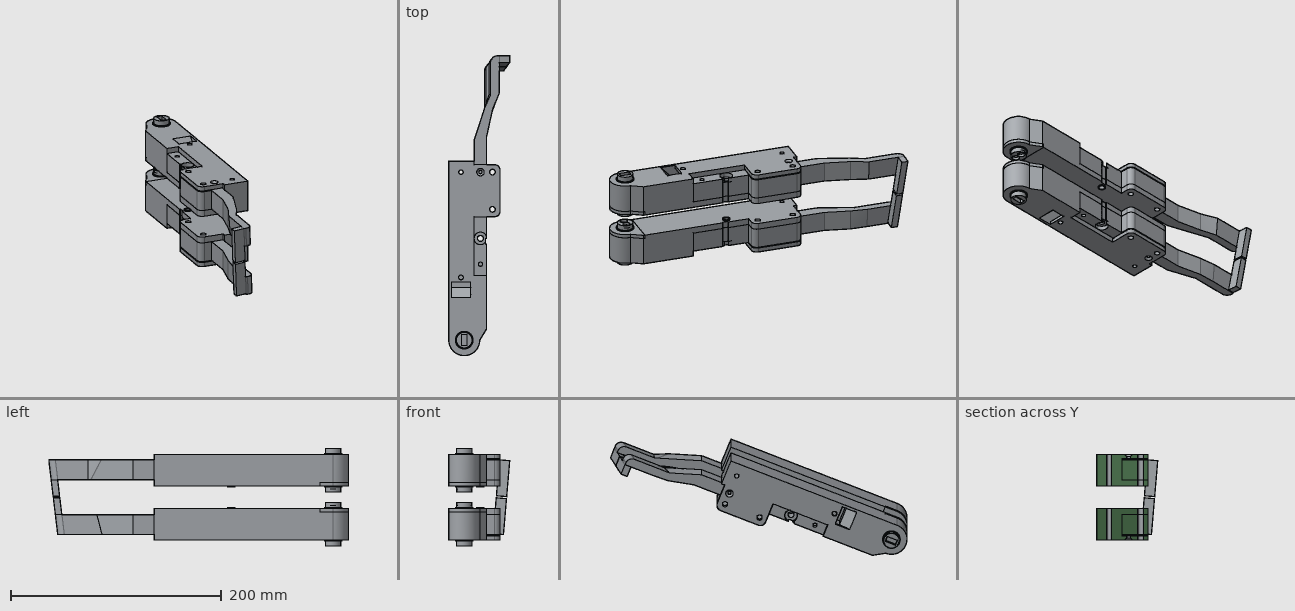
import cadquery as cq
import math


housing_top = 40.8
housing_bottom = 10.5
lever_top = 35.5
lever_bottom = 16.5
cover_bottom = 36.5

nose_radius = 14.8
body_right = 21.5
body_end = 170.1
nose_chamfer_start = 10.8
flange_right = 34.2
flange_start = 117.0
flange_end = 166.7
flange_corner_radius = 5.5

channel_left = 9.5
channel_start = 61.3
channel_center = (channel_left + body_right) / 2

corner_hole_diameter = 4.0
corner_hole = (-3.0, 159.5)
flange_hole_diameter = 5.0
flange_hole_inset = 7.0
flange_hole_edge_distance = 7.5
flange_hole_x = flange_right - flange_hole_edge_distance
flange_hole_points = [
    (flange_hole_x, flange_start + flange_hole_inset),
    (flange_hole_x, flange_end - flange_hole_inset),
]
countersink_diameter = 7.0
countersink_hole_diameter = 3.0
countersink_point = (channel_center, flange_end - flange_hole_inset)
window_hole_diameter = 4.5
window_hole = (corner_hole[0], 59.5)

pivot_point = (channel_center, 96.5)
pivot_hole_diameter = 5.5
pivot_counterbore_diameter = 12.0
pivot_counterbore_depth = 4.3
pivot_boss_diameter = 7.0
pivot_boss_height = 0.9
notch_depth = 1.0
notch_width = 5.5
lever_pin_hole_diameter = 4.0
lever_pin_hole_depth = 5.7
lever_pin_hole = (channel_center, 72.0)

window_left = -12.3
window_right = 6.0
window_start = 40.5
window_end = 55.0
window_wall = 3.0
cavity_right = 7.5
cavity_end = 79.8
cavity_floor = 16.5
ramp_run = 9.7
ramp_drop = 10.3

cap_end = 12.3
cap_thickness = 3.5

spindle_diameter = 14.8
collar_diameter = 16.8
collar_height = 0.9
spindle_projection = 5.7
drive_slot_width = 5.0
drive_slot_length = 10.3
drive_slot_depth = 4.3
spanner_hole_diameter = 6.8
spanner_hole_spacing = 7.0
spanner_hole_depth = 2.8

arm_left_bend_y = 190.5
arm_right_bend_y = 193.5
arm_left_slope = 0.33
left_elbow_top_y = 220.3
left_elbow_bottom_y = 230.3
right_elbow = (26.8, 218.0)
grip_left = 25.0
grip_right = 33.3
grip_left_start = 233.0
grip_right_start = 234.5
grip_tip = 270.2
tip_radius = 6.3
lean_x = 0.085
lean_y = 0.12

hook_reach = 10.0
hook_thickness = 6.3
hook_gap = 1.7
hook_tilt_rise = lean_x * hook_reach


def plate(outline, bottom, top):
    """Extrude a closed XY outline between two heights."""
    return outline.extrude(top - bottom).translate((0, 0, bottom))


def box(x_range, y_range, z_range):
    lengths = [high - low for low, high in (x_range, y_range, z_range)]
    corner = (x_range[0], y_range[0], z_range[0])
    return cq.Workplane("XY").box(*lengths, centered=False).translate(corner)


def cylinder(points, diameter, bottom, top):
    return plate(cq.Workplane("XY").pushPoints(points).circle(diameter / 2), bottom, top)


def flange(bottom, top):
    block = box((channel_left, flange_right), (flange_start, flange_end), (bottom, top))
    return block.edges("|Z and >X").fillet(flange_corner_radius)


def make_nose_and_body():
    """Long body with a round nose, without the side flange."""
    outline = (
        cq.Workplane("XY")
        .moveTo(-nose_radius, 0)
        .threePointArc((0, -nose_radius), (nose_radius, 0))
        .lineTo(body_right, nose_chamfer_start)
        .lineTo(body_right, flange_end)
        .lineTo(channel_left, flange_end)
        .lineTo(channel_left, body_end)
        .lineTo(-nose_radius, body_end)
        .close()
    )
    return plate(outline, housing_bottom, housing_top)


def make_window():
    """Rectangular opening in the top wall, with a cavity and a steep ramp that ends in a drop below."""
    ceiling = housing_top - window_wall
    opening = box(
        (window_left, window_right), (window_start, window_end), (cavity_floor, housing_top)
    )
    cavity = box((window_left, cavity_right), (window_start, cavity_end), (cavity_floor, ceiling))
    ramp_width = cavity_right - window_left
    ramp = (
        cq.Workplane("YZ")
        .moveTo(window_start, cavity_floor)
        .lineTo(window_start + ramp_run, cavity_floor)
        .lineTo(window_start + ramp_run, housing_top - ramp_drop)
        .lineTo(window_start, housing_top)
        .close()
        .extrude(ramp_width)
        .translate((window_left, 0, 0))
    )
    return opening.union(cavity).cut(ramp)


def make_edge_notch():
    """Notch beside the pivot, in the right edge of both the lever and the housing floor."""
    return box(
        (body_right - notch_depth, body_right),
        (pivot_point[1] - notch_width, pivot_point[1]),
        (housing_bottom, lever_top),
    )


def make_countersink():
    """Countersunk hole through the wall above the lever."""
    hole = cylinder([countersink_point], countersink_hole_diameter, cover_bottom, housing_top)
    cone_depth = (countersink_diameter - countersink_hole_diameter) / 2
    cone = cq.Solid.makeCone(
        countersink_hole_diameter / 2, countersink_diameter / 2, cone_depth
    ).translate(cq.Vector(*countersink_point, housing_top - cone_depth))
    return hole.union(cq.Workplane(cone))


def cap_zone():
    """Region at the nose that belongs to the cap and not to the housing."""
    return box(
        (-nose_radius, body_right),
        (-nose_radius, cap_end),
        (housing_bottom, housing_bottom + cap_thickness),
    )


def spindle_bore():
    return cylinder([(0, 0)], spindle_diameter, housing_bottom, housing_top)


def make_housing():
    body = make_nose_and_body().union(flange(housing_bottom, housing_top))
    channel = box((channel_left, flange_right), (channel_start, body_end), (lever_bottom, cover_bottom))
    channel_mouth = box(
        (channel_left, body_right), (channel_start, flange_start), (cover_bottom, housing_top)
    )
    body = body.cut(channel).cut(channel_mouth)
    boss_bottom = housing_bottom - pivot_boss_height
    body = body.union(cylinder([pivot_point], pivot_boss_diameter, boss_bottom, housing_bottom))
    body = body.cut(cylinder([pivot_point], pivot_hole_diameter, boss_bottom, housing_top))
    body = body.cut(cylinder(flange_hole_points, flange_hole_diameter, housing_bottom, housing_top))
    body = body.cut(cylinder([corner_hole], corner_hole_diameter, housing_bottom, housing_top))
    body = body.cut(
        cylinder([window_hole], window_hole_diameter, housing_top - window_wall, housing_top)
    )
    body = body.cut(make_countersink()).cut(make_window()).cut(make_edge_notch())
    return body.cut(cap_zone()).cut(spindle_bore())


def make_cap():
    return make_nose_and_body().intersect(cap_zone()).cut(spindle_bore())


def make_spindle():
    bottom = housing_bottom - spindle_projection
    top = housing_top + spindle_projection
    spindle = cylinder([(0, 0)], spindle_diameter, bottom, top)
    for collar_bottom in (housing_bottom - collar_height, housing_top):
        spindle = spindle.union(
            cylinder([(0, 0)], collar_diameter, collar_bottom, collar_bottom + collar_height)
        )
    drive_slot = plate(
        cq.Workplane("XY").rect(drive_slot_width, drive_slot_length), top - drive_slot_depth, top
    )
    spanner_points = [(side * spanner_hole_spacing / 2, 0) for side in (-1, 1)]
    spanner_holes = cylinder(
        spanner_points, spanner_hole_diameter, bottom, bottom + spanner_hole_depth
    )
    return spindle.cut(drive_slot).cut(spanner_holes)


def make_lever_block():
    """Straight part of the lever, with the flange that lies between the housing flanges."""
    bar = box((channel_left, body_right), (channel_start, arm_left_bend_y), (lever_bottom, lever_top))
    block = bar.union(flange(lever_bottom, lever_top))
    block = block.cut(cylinder(flange_hole_points, flange_hole_diameter, lever_bottom, lever_top))
    block = block.cut(cylinder([pivot_point], pivot_hole_diameter, lever_bottom, lever_top))
    block = block.cut(
        cylinder(
            [pivot_point], pivot_counterbore_diameter, lever_top - pivot_counterbore_depth, lever_top
        )
    )
    block = block.cut(
        cylinder([lever_pin_hole], lever_pin_hole_diameter, lever_top - lever_pin_hole_depth, lever_top)
    )
    return block.cut(make_edge_notch())


def lean_offset(z):
    """How far the leaning grip has moved towards -X and -Y at height z."""
    drop = lever_top - z
    return lean_x * drop, lean_y * drop


def arm_left_x(y):
    return channel_left + arm_left_slope * (y - arm_left_bend_y)


def arm_outline(z, left_elbow):
    """Closed wire of the arm and grip at height z; left_elbow lists the corners of the left side."""
    shift_x, shift_y = lean_offset(z)
    left = grip_left - shift_x
    right = grip_right - shift_x
    tip = grip_tip - shift_y
    arc_inset = tip_radius * (1 - math.sqrt(0.5))
    outline = cq.Workplane("XY", origin=(0, 0, z)).moveTo(channel_left, arm_left_bend_y)
    for point in left_elbow:
        outline = outline.lineTo(*point)
    outline = (
        outline.lineTo(left, tip - tip_radius)
        .threePointArc((left + arc_inset, tip - arc_inset), (left + tip_radius, tip))
        .lineTo(right, tip)
        .lineTo(right, grip_right_start)
        .lineTo(*right_elbow)
        .lineTo(body_right, arm_right_bend_y)
        .lineTo(body_right, arm_left_bend_y)
        .close()
    )
    return outline.val()


def upper_elbow(z, elbow_y):
    """The left side of the upper arm turns twice: at the elbow and where the grip starts."""
    return [(arm_left_x(elbow_y), elbow_y), (grip_left - lean_offset(z)[0], grip_left_start)]


def lower_elbow(z):
    """The left side of the lower arm runs straight into the grip."""
    left = grip_left - lean_offset(z)[0]
    return [(left, arm_left_bend_y + (left - channel_left) / arm_left_slope)]


def make_arm(outlines):
    return cq.Workplane(cq.Solid.makeLoft(outlines, True))


def make_hook(inner_top, inner_bottom):
    """Leaning plate with ends square to it; the heights are those of its inner edge."""
    shift_x, shift_y = lean_offset(inner_top)
    inner = grip_right - shift_x
    tip = grip_tip - shift_y
    outer_z = inner_top - hook_tilt_rise
    corners = [
        (inner, tip, inner_top),
        (inner + hook_reach, tip, outer_z),
        (inner + hook_reach, tip - hook_thickness, outer_z),
        (inner, tip - hook_thickness, inner_top),
    ]
    wire = cq.Wire.makePolygon([cq.Vector(*corner) for corner in corners], close=True)
    drop = inner_top - inner_bottom
    return cq.Workplane(
        cq.Solid.extrudeLinear(wire, [], cq.Vector(-lean_x * drop, -lean_y * drop, -drop))
    )


def make_upper_lever():
    arm = make_arm([
        arm_outline(lever_bottom, upper_elbow(lever_bottom, left_elbow_bottom_y)),
        arm_outline(lever_top, upper_elbow(lever_top, left_elbow_top_y)),
    ])
    hook_bottom = hook_gap / 2 + hook_tilt_rise / 2
    return make_lever_block().union(arm).union(make_hook(lever_top, hook_bottom))


def make_lower_lever():
    arm = make_arm([arm_outline(z, lower_elbow(z)) for z in (-lever_top, -lever_bottom)])
    hook_top = -hook_gap / 2 + hook_tilt_rise / 2
    block = make_lever_block().mirror("XY")
    return block.union(arm).union(make_hook(hook_top, -lever_top + hook_tilt_rise))


bodies = []
for make_body in (make_housing, make_cap, make_spindle):
    upper_body = make_body()
    lower_body = upper_body.mirror("XY")
    bodies.append(upper_body.solids().val())
    bodies.append(lower_body.solids().val())

upper_lever = make_upper_lever()
lower_lever = make_lower_lever()

result = cq.Compound.makeCompound([*bodies, upper_lever.solids().val(), lower_lever.solids().val()])